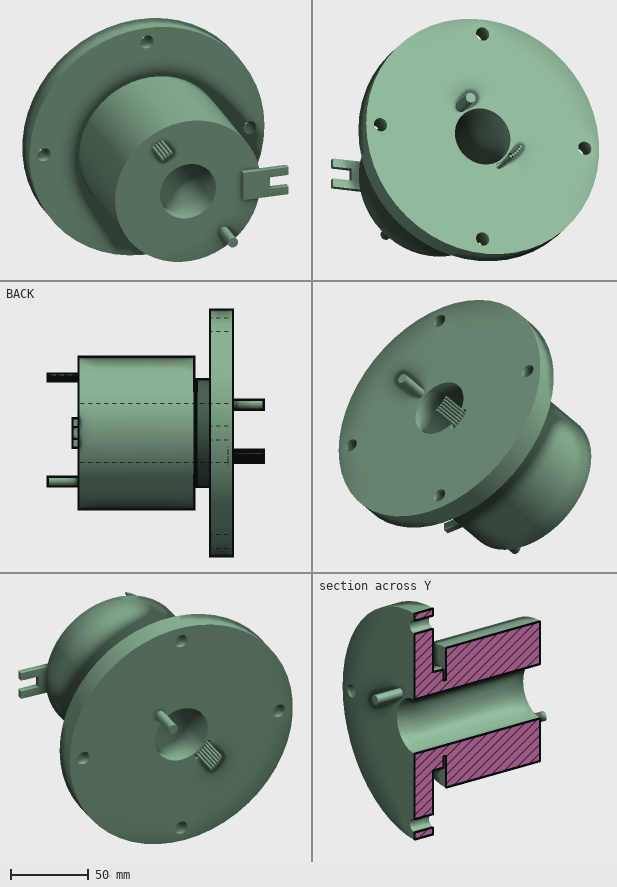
import cadquery as cq
import math


LEAD_LENGTH = 20.0
FLANGE_THICKNESS = 15.0
COLLAR_LENGTH = 8.5
NECK_LENGTH = 1.5
DRUM_LENGTH = 75.0

FLANGE_DIAMETER = 160
COLLAR_DIAMETER = 70.0
NECK_DIAMETER = 54.0
DRUM_DIAMETER = 99.0
BORE_DIAMETER = 38.0

BOLT_COUNT = 4
BOLT_HOLE_DIAMETER = 9.0
BOLT_CIRCLE_DIAMETER = 140.2

CABLE_DIAMETER = 6.5
FRONT_CABLE_RADIUS = 23.8
FRONT_CABLE_ANGLE = 50.2
REAR_CABLE_RADIUS = 39.7
REAR_CABLE_ANGLE = -52.3

FRONT_WIRE_RADIUS = 22.2
FRONT_WIRE_COUNT = 6
FRONT_WIRE_DIAMETER = 1.6
FRONT_WIRE_START_ANGLE = 210.5
FRONT_WIRE_SPREAD = 26
REAR_WIRE_RADIUS = 41.6
REAR_WIRE_COUNT = 4
REAR_WIRE_DIAMETER = 2.0
REAR_WIRE_START_ANGLE = 115.3
REAR_WIRE_SPREAD = 9.4

SLOT_RADIUS = 22.0
SLOT_WIDTH = 4.0
SLOT_DEPTH = 3.2
SLOT_START_ANGLE = 210
SLOT_END_ANGLE = 240

TAB_THICKNESS = 4.0
TAB_WIDTH = 19.2
TAB_LENGTH = 30.7
TAB_INNER_Y = 36.5
NOTCH_WIDTH = 8
NOTCH_LENGTH = 12.8

FLANGE_FACE_X = 0
COLLAR_X = FLANGE_FACE_X + FLANGE_THICKNESS
NECK_X = COLLAR_X + COLLAR_LENGTH
DRUM_X = NECK_X + NECK_LENGTH
REAR_FACE_X = DRUM_X + DRUM_LENGTH


def polar(radius, angle):
    """Point (y, z) at an angle in degrees from +Y towards +Z."""
    a = math.radians(angle)
    return (radius * math.cos(a), radius * math.sin(a))


def rod(diameter, start_x, length, center=(0, 0)):
    """Cylinder along +X whose axis passes through center (y, z)."""
    return cq.Workplane("YZ", origin=(start_x, 0, 0)).center(*center).circle(diameter / 2).extrude(length)


def make_body():
    flange = rod(FLANGE_DIAMETER, FLANGE_FACE_X, FLANGE_THICKNESS)
    collar = rod(COLLAR_DIAMETER, COLLAR_X, COLLAR_LENGTH)
    neck = rod(NECK_DIAMETER, NECK_X, NECK_LENGTH)
    drum = rod(DRUM_DIAMETER, DRUM_X, DRUM_LENGTH)
    body = flange.union(collar).union(neck).union(drum)
    body = body.cut(rod(BORE_DIAMETER, FLANGE_FACE_X, REAR_FACE_X - FLANGE_FACE_X))
    for i in range(BOLT_COUNT):
        center = polar(BOLT_CIRCLE_DIAMETER / 2, i * 360 / BOLT_COUNT)
        body = body.cut(rod(BOLT_HOLE_DIAMETER, FLANGE_FACE_X, FLANGE_THICKNESS, center))
    return body


def make_slot():
    inner = SLOT_RADIUS - SLOT_WIDTH / 2
    outer = SLOT_RADIUS + SLOT_WIDTH / 2
    middle_angle = (SLOT_START_ANGLE + SLOT_END_ANGLE) / 2
    end_cap_angle = math.degrees(SLOT_WIDTH / 2 / SLOT_RADIUS)
    return (
        cq.Workplane("YZ", origin=(FLANGE_FACE_X, 0, 0))
        .moveTo(*polar(inner, SLOT_START_ANGLE))
        .threePointArc(polar(inner, middle_angle), polar(inner, SLOT_END_ANGLE))
        .threePointArc(polar(SLOT_RADIUS, SLOT_END_ANGLE + end_cap_angle), polar(outer, SLOT_END_ANGLE))
        .threePointArc(polar(outer, middle_angle), polar(outer, SLOT_START_ANGLE))
        .threePointArc(polar(SLOT_RADIUS, SLOT_START_ANGLE - end_cap_angle), polar(inner, SLOT_START_ANGLE))
        .close()
        .extrude(SLOT_DEPTH)
    )


def slab(start_y, length, width):
    """Block of the tab's thickness on the rear face, running along +Y and centred on Z = 0."""
    block = cq.Workplane("XY").box(TAB_THICKNESS, length, width, centered=(False, False, True))
    return block.translate((REAR_FACE_X, start_y, 0))


def make_tab():
    outer_y = TAB_INNER_Y + TAB_LENGTH
    plate = slab(TAB_INNER_Y, TAB_LENGTH, TAB_WIDTH)
    notch = slab(outer_y - NOTCH_LENGTH, NOTCH_LENGTH, NOTCH_WIDTH)
    return plate.cut(notch)


def wire_row(count, diameter, radius, start_angle, spread, start_x, length):
    """Row of wires spaced evenly over an arc that spans spread degrees."""
    row = cq.Workplane("YZ")
    for i in range(count):
        angle = start_angle + spread * i / (count - 1)
        row = row.add(rod(diameter, start_x, length, polar(radius, angle)))
    return row


front_end_x = FLANGE_FACE_X - LEAD_LENGTH
front_cable = rod(CABLE_DIAMETER, front_end_x, LEAD_LENGTH, polar(FRONT_CABLE_RADIUS, FRONT_CABLE_ANGLE))
front_wires = wire_row(
    FRONT_WIRE_COUNT,
    FRONT_WIRE_DIAMETER,
    FRONT_WIRE_RADIUS,
    FRONT_WIRE_START_ANGLE,
    FRONT_WIRE_SPREAD,
    front_end_x,
    LEAD_LENGTH + SLOT_DEPTH,
)

rear_cable = rod(CABLE_DIAMETER, REAR_FACE_X, LEAD_LENGTH, polar(REAR_CABLE_RADIUS, REAR_CABLE_ANGLE))
rear_wires = wire_row(
    REAR_WIRE_COUNT,
    REAR_WIRE_DIAMETER,
    REAR_WIRE_RADIUS,
    REAR_WIRE_START_ANGLE,
    REAR_WIRE_SPREAD,
    REAR_FACE_X,
    LEAD_LENGTH,
)

result = make_body().cut(make_slot()).union(make_tab())
for lead in (front_cable, front_wires, rear_cable, rear_wires):
    result = result.union(lead)